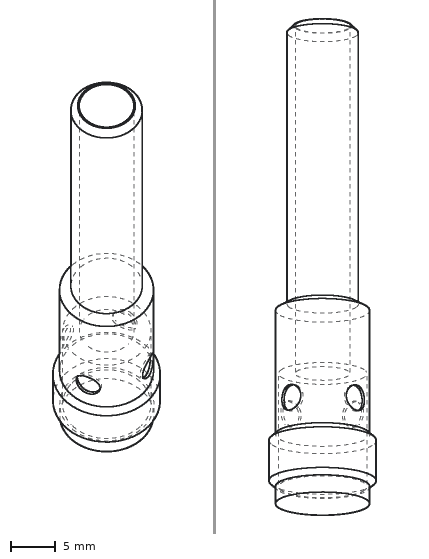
import cadquery as cq

total_height = 55.0
flange_height = 2.0
collar_top = 8.0
sleeve_top = 23.0

rod_diameter = 8.0
sleeve_diameter = 10.5
collar_diameter = 12.0

collar_bevel_height = 0.65
shoulder_height = 0.7
tip_bevel = 0.75

core_diameter = 6.1
plug_wall = 0.35
plug_top = 15.0

window_diameter = 2.9
window_height = 11.3
window_directions = [(1, 0, 0), (0, 1, 0), (-1, 0, 0), (0, -1, 0)]

rod_radius = rod_diameter / 2
sleeve_radius = sleeve_diameter / 2
collar_radius = collar_diameter / 2
core_radius = core_diameter / 2
stem_radius = sleeve_radius - plug_wall


def cylinder(radius, bottom, top):
    """Upright cylinder on the Z axis between two heights."""
    return cq.Workplane("XY").workplane(offset=bottom).circle(radius).extrude(top - bottom)


def make_windows():
    """Radial cutters reaching from the axis out through the sleeve wall."""
    center = cq.Vector(0, 0, window_height)
    return [
        cq.Solid.makeCylinder(window_diameter / 2, collar_radius, center, cq.Vector(*direction))
        for direction in window_directions
    ]


def make_housing():
    """Collar, sleeve and hollow rod turned in one piece, with windows in the sleeve."""
    outline = [
        (0, flange_height),
        (sleeve_radius, flange_height),
        (collar_radius, flange_height + collar_bevel_height),
        (collar_radius, collar_top - collar_bevel_height),
        (sleeve_radius, collar_top),
        (sleeve_radius, sleeve_top - shoulder_height),
        (rod_radius, sleeve_top),
        (rod_radius, total_height - tip_bevel),
        (rod_radius - tip_bevel, total_height),
        (0, total_height),
    ]
    housing = cq.Workplane("XZ").polyline(outline).close().revolve(360, (0, 0, 0), (0, 1, 0))
    housing = housing.cut(cylinder(stem_radius, flange_height, plug_top))
    housing = housing.cut(cylinder(core_radius, plug_top, total_height))
    for window in make_windows():
        housing = housing.cut(cq.Workplane(window))
    return housing


def make_plug():
    """Bottom flange with a stem that fills the sleeve bore behind the windows."""
    flange = cylinder(sleeve_radius, 0, flange_height)
    return flange.union(cylinder(stem_radius, flange_height, plug_top))


def make_core():
    """Round core resting on the plug and flush with the tip of the rod."""
    return cylinder(core_radius, plug_top, total_height)


housing = make_housing()
plug = make_plug()
core = make_core()

result = cq.Compound.makeCompound([housing.val(), plug.val(), core.val()])